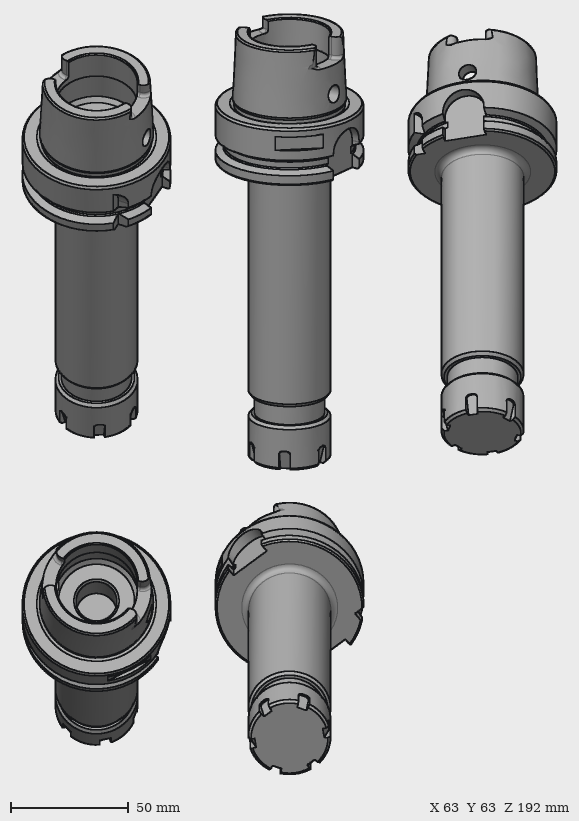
import cadquery as cq
import math

total_length = 192.0
flange_top = 160.0
flange_bottom = 134.0
groove_middle = 142.0
shank_bottom = 28.6
nut_top = 20.0

flange_radius = 31.5
flange_rim_drop = 1.2
flange_rim_inset = 0.8
flange_chamfer = 0.8
groove_radius = 27.6
groove_half_floor = 1.3
groove_corner_height = 0.5
groove_corner_inset = 0.5
groove_half_mouth = 3.5

taper_top_radius = 22.8
taper_base_radius = 24.2
taper_chamfer = 0.8
relief_height = 2.1
relief_lip = 1.0
relief_radius = 23.6
relief_outer_radius = 25.3

mouth_radius = 17.3
mouth_chamfer = 0.5
mouth_depth = 12.9
undercut_radius = 18.0
bore_depth = 27.3
bore_floor_radius = 16.1
thread_radius = 8.6
thread_chamfer = 1.0
thread_depth = 19.2

slot_half_width = 6.3
slot_corner_radius = 3.3
slot_flank_clearance = 0.29
slot_tangent_radius = taper_top_radius + slot_flank_clearance
slot_flank_length = 5.8
slot_floor_fillet = 1.5
deep_slot_depth = 9.8
shallow_slot_depth = 5.8

cross_hole_radius = 3.8
cross_hole_level = 169.3

key_half_width = 9.0
key_floor_distance = 26.5
key_crown_level = 155.3
notch_radius = 7.9
notch_wall_offset = 19.8
notch_floor_distance = 19.8
notch_spring_level = 147.8
flat_distance = 29.8
flat_height = 6.1
flat_level = 153.0
flat_angle = 135.0

shank_radius = 17.5
shank_fillet = 2.9
shank_chamfer_height = 1.5
shank_chamfer_inset = 1.2
neck_radius = 15.0
nut_top_chamfer = 1.3
nut_bottom_chamfer = 1.2

spanner_slot_count = 6
spanner_slot_mouth_width = 5.0
spanner_slot_root_width = 4.0
spanner_slot_height = 8.6
spanner_slot_corner = 2.0
spanner_floor_top = 16.7
spanner_floor_bottom = 14.5

cut_margin = 9.6


def revolved_body():
    """Outer shape, turned about the Z axis."""
    groove_shoulder_radius = groove_radius + groove_corner_inset
    groove_half_shoulder = groove_half_floor + groove_corner_height
    fillet_reach = shank_fillet * (1 - math.sqrt(0.5))
    return (
        cq.Workplane("XZ")
        .moveTo(0, 0)
        .lineTo(shank_radius - nut_bottom_chamfer, 0)
        .lineTo(shank_radius, nut_bottom_chamfer)
        .lineTo(shank_radius, nut_top - nut_top_chamfer)
        .lineTo(shank_radius - nut_top_chamfer, nut_top)
        .lineTo(neck_radius, nut_top)
        .lineTo(neck_radius, shank_bottom)
        .lineTo(shank_radius - shank_chamfer_inset, shank_bottom)
        .lineTo(shank_radius, shank_bottom + shank_chamfer_height)
        .lineTo(shank_radius, flange_bottom - shank_fillet)
        .threePointArc(
            (shank_radius + fillet_reach, flange_bottom - fillet_reach),
            (shank_radius + shank_fillet, flange_bottom),
        )
        .lineTo(flange_radius - flange_chamfer, flange_bottom)
        .lineTo(flange_radius, flange_bottom + flange_chamfer)
        .lineTo(flange_radius, groove_middle - groove_half_mouth)
        .lineTo(groove_shoulder_radius, groove_middle - groove_half_shoulder)
        .lineTo(groove_radius, groove_middle - groove_half_floor)
        .lineTo(groove_radius, groove_middle + groove_half_floor)
        .lineTo(groove_shoulder_radius, groove_middle + groove_half_shoulder)
        .lineTo(flange_radius, groove_middle + groove_half_mouth)
        .lineTo(flange_radius, flange_top - flange_rim_drop)
        .lineTo(flange_radius - flange_rim_inset, flange_top)
        .lineTo(relief_outer_radius, flange_top)
        .lineTo(relief_radius, flange_top - relief_lip)
        .lineTo(relief_radius, flange_top + relief_lip)
        .lineTo(taper_base_radius, flange_top + relief_height)
        .lineTo(taper_top_radius, total_length - taper_chamfer)
        .lineTo(taper_top_radius - taper_chamfer, total_length)
        .lineTo(0, total_length)
        .close()
        .revolve(360, (0, 0, 0), (0, 1, 0))
    )


def stepped_bore():
    """Clamping bore, undercut below its mouth, with the threaded coolant hole under it."""
    bore_floor = total_length - bore_depth
    mouth_bottom = total_length - mouth_depth
    return (
        cq.Workplane("XZ")
        .moveTo(0, total_length)
        .lineTo(mouth_radius + mouth_chamfer, total_length)
        .lineTo(mouth_radius, total_length - mouth_chamfer)
        .lineTo(mouth_radius, mouth_bottom)
        .lineTo(undercut_radius, mouth_bottom)
        .lineTo(undercut_radius, bore_floor + undercut_radius - bore_floor_radius)
        .lineTo(bore_floor_radius, bore_floor)
        .lineTo(thread_radius + thread_chamfer, bore_floor)
        .lineTo(thread_radius, bore_floor - thread_chamfer)
        .lineTo(thread_radius, bore_floor - thread_depth)
        .lineTo(0, bore_floor - thread_depth)
        .close()
        .revolve(360, (0, 0, 0), (0, 1, 0))
    )


def drive_slot(depth):
    """Slot through the +X wall whose mouth flares round both wall ends."""
    centre_y = slot_half_width + slot_corner_radius
    centre_distance = slot_tangent_radius - slot_corner_radius
    angle = math.asin(centre_y / centre_distance)
    centre_x = centre_distance * math.cos(angle)

    def on_corner(direction):
        return (
            centre_x + slot_corner_radius * math.cos(direction),
            centre_y + slot_corner_radius * math.sin(direction),
        )

    start = (centre_x, slot_half_width)
    middle = on_corner((angle - math.pi / 2) / 2)
    end = on_corner(angle)
    flank = (
        end[0] - slot_flank_length * math.sin(angle),
        end[1] + slot_flank_length * math.cos(angle),
    )
    outer_x = flange_radius

    def mirrored(point):
        return (point[0], -point[1])

    return (
        cq.Workplane("XY", origin=(0, 0, total_length - depth))
        .moveTo(0, slot_half_width)
        .lineTo(*start)
        .threePointArc(middle, end)
        .lineTo(*flank)
        .lineTo(outer_x, flank[1])
        .lineTo(outer_x, -flank[1])
        .lineTo(*mirrored(flank))
        .lineTo(*mirrored(end))
        .threePointArc(mirrored(middle), mirrored(start))
        .lineTo(0, -slot_half_width)
        .close()
        .extrude(depth + cut_margin)
        .faces("<Z")
        .fillet(slot_floor_fillet)
    )


def arched_cutter(radius, centre_y, spring_level, floor_x):
    """Slot open at the flange underside, round on top, with its floor at floor_x."""
    foot = flange_bottom - flange_chamfer
    return (
        cq.Workplane("YZ", origin=(floor_x, 0, 0))
        .moveTo(centre_y - radius, foot)
        .lineTo(centre_y + radius, foot)
        .lineTo(centre_y + radius, spring_level)
        .threePointArc((centre_y, spring_level + radius), (centre_y - radius, spring_level))
        .close()
        .extrude(flange_radius)
    )


def chord_flat():
    """Shallow rectangular flat on the flange rim."""
    return (
        cq.Workplane("XY")
        .box(cut_margin, 2 * flange_radius, flat_height, centered=(False, True, True))
        .translate((flat_distance, 0, flat_level))
        .rotate((0, 0, 0), (0, 0, 1), flat_angle)
    )


def spanner_slot():
    """Slot in the +X side of the nut, narrower at its root and deeper towards the nut end."""
    root_half = spanner_slot_root_width / 2
    mouth_half = spanner_slot_mouth_width / 2
    wedge = (
        cq.Workplane("XY")
        .polyline(
            [
                (spanner_floor_bottom, -root_half),
                (shank_radius, -mouth_half),
                (flange_radius, -mouth_half),
                (flange_radius, mouth_half),
                (shank_radius, mouth_half),
                (spanner_floor_bottom, root_half),
            ]
        )
        .close()
        .extrude(spanner_slot_height)
    )
    side_profile = (
        cq.Workplane("XZ")
        .moveTo(spanner_floor_bottom, 0)
        .lineTo(spanner_floor_top, spanner_slot_height)
        .lineTo(flange_radius, spanner_slot_height)
        .lineTo(flange_radius, 0)
        .close()
        .extrude(spanner_slot_mouth_width, both=True)
    )
    rounded_top = (
        cq.Workplane("YZ")
        .rect(spanner_slot_mouth_width, 2 * spanner_slot_height)
        .extrude(flange_radius)
        .edges("|X and >Z")
        .fillet(spanner_slot_corner)
    )
    return wedge.intersect(side_profile).intersect(rounded_top)


result = revolved_body().cut(stepped_bore())

result = result.cut(drive_slot(shallow_slot_depth))
result = result.cut(drive_slot(deep_slot_depth).rotate((0, 0, 0), (0, 0, 1), 180))

cross_hole = (
    cq.Workplane("YZ", origin=(0, 0, cross_hole_level))
    .circle(cross_hole_radius)
    .extrude(flange_radius, both=True)
)
result = result.cut(cross_hole)

keyway = arched_cutter(key_half_width, 0, key_crown_level - key_half_width, key_floor_distance)
result = result.cut(keyway)
result = result.cut(keyway.rotate((0, 0, 0), (0, 0, 1), 180))

index_notch = arched_cutter(
    notch_radius, -notch_wall_offset - notch_radius, notch_spring_level, notch_floor_distance
)
result = result.cut(index_notch)
result = result.cut(chord_flat())

for index in range(spanner_slot_count):
    turn = index * 360 / spanner_slot_count
    result = result.cut(spanner_slot().rotate((0, 0, 0), (0, 0, 1), turn))